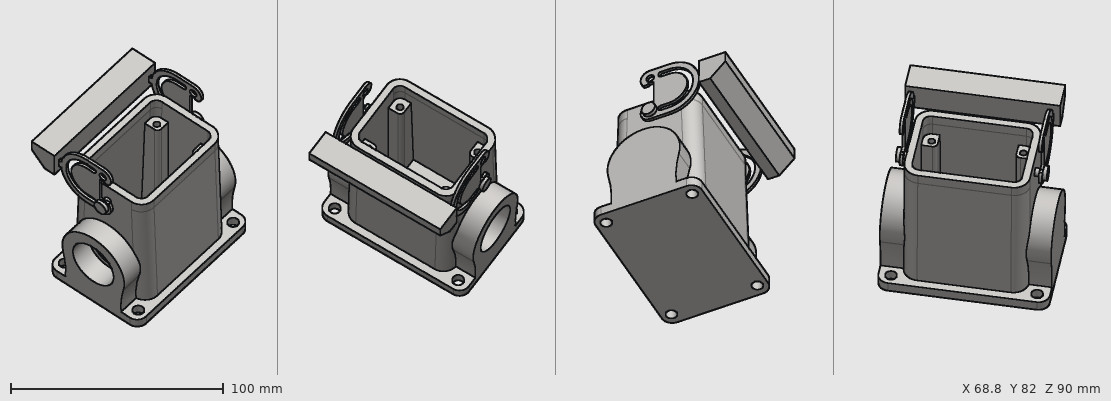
import cadquery as cq
import math

BASE_X = 55.6
BASE_Y = 82.0
BASE_HEIGHT = 5.2
BASE_CORNER_RADIUS = 5.4
SCREW_SPACING_X = 45.0
SCREW_SPACING_Y = 69.8
SCREW_HOLE_DIAMETER = 5.6

RIM_X = 43.2
RIM_Y = 59.9
FOOT_X = 47.4
HOOD_CORNER_RADIUS = 7.6
HOOD_TOP = 73.8
RIM_BOTTOM = 68.7
WALL = 3.7

POST_TOP = 61.65
POST_GAP_X = 20.0
POST_GAP_Y = 37.6
POST_EDGE_RADIUS = 2.25
POST_HOLE_SPACING_X = 26.8
POST_HOLE_SPACING_Y = 43.9
POST_HOLE_DIAMETER = 3.3
POST_HOLE_DEPTH = 10.8

BOSS_RADIUS = 19.0
BOSS_AXIS_HEIGHT = 27.1
BOSS_FOOT_X = 34.0
BOSS_FLARE_DROP = 4.3
ENTRY_DIAMETER = 24.9
ENTRY_DEPTH = 11.5
ENTRY_INNER_DIAMETER = 19.1

PLATE_INNER_Y = 32.5
PLATE_THICKNESS = 1.5
PLATE_OUTER_Y = PLATE_INNER_Y + PLATE_THICKNESS
PIVOT_HEIGHT = 63.9
LOBE_SPACING = 21.1
LOBE_RADIUS = 5.0
PLATE_MID_HEIGHT = PIVOT_HEIGHT + LOBE_SPACING / 2
PLATE_RADIUS = LOBE_SPACING / 2 + LOBE_RADIUS
PLATE_ARC_X = -10.0
PLATE_EDGE_X = -1.9
NOTCH_DROP = 2.9
NOTCH_RADIUS = 0.9
LOBE_FLAT_DROP = 3.6
LOBE_STEP_X = 1.7
SLOT_RADIUS = 10.9
SLOT_WIDTH = 3.1
SLOT_END_X = -5.8
TAB_HEIGHT = 4.05
BAR_MIN_X = -40.95
BAR_MAX_X = -27.0
BAR_LENGTH = 74.2
BAR_BOTTOM = 68.7
BAR_TOP = 82.4
BAR_CHAMFER_X = 8.0
BAR_CHAMFER_Z = 7.8

STUD_DIAMETER = 4.0
STUD_HEAD_DIAMETER = 7.1
STUD_HEAD_HEIGHT = 2.1


def rounded_rectangle(size_x, size_y, radius):
    return cq.Sketch().rect(size_x, size_y).vertices().fillet(radius)


def hood_block(inset):
    """Solid inside the hood's outer surface, moved inward by inset on all sides."""
    foot = FOOT_X / 2 - inset
    rim = RIM_X / 2 - inset
    size_y = RIM_Y - 2 * inset
    return (
        cq.Workplane("XZ", origin=(0, size_y / 2, 0))
        .moveTo(-foot, BASE_HEIGHT)
        .lineTo(foot, BASE_HEIGHT)
        .lineTo(rim, RIM_BOTTOM)
        .lineTo(rim, HOOD_TOP)
        .lineTo(-rim, HOOD_TOP)
        .lineTo(-rim, RIM_BOTTOM)
        .close()
        .extrude(size_y)
        .faces("<Y or >Y").edges("not #Z")
        .fillet(HOOD_CORNER_RADIUS - inset)
    )


def base_plate():
    return (
        cq.Workplane("XY")
        .placeSketch(rounded_rectangle(BASE_X, BASE_Y, BASE_CORNER_RADIUS))
        .extrude(BASE_HEIGHT)
        .faces(">Z").workplane()
        .rect(SCREW_SPACING_X, SCREW_SPACING_Y, forConstruction=True).vertices()
        .hole(SCREW_HOLE_DIAMETER)
    )


def entry_bosses():
    """Round bosses whose sides curve smoothly down to the base; one prism forms both ends."""
    flare_angle = math.asin(BOSS_FLARE_DROP / BOSS_RADIUS)
    side_angle = (math.pi / 2 - flare_angle) / 2

    def circle_point(angle):
        return BOSS_RADIUS * math.cos(angle), BOSS_AXIS_HEIGHT + BOSS_RADIUS * math.sin(angle)

    half_outline = (
        cq.Workplane("XZ", origin=(0, BASE_Y / 2, 0))
        .moveTo(*circle_point(math.pi / 2))
        .threePointArc(circle_point(side_angle), circle_point(-flare_angle))
        .tangentArcPoint((BOSS_FOOT_X / 2, BASE_HEIGHT), relative=False)
        .lineTo(0, BASE_HEIGHT)
    )
    return half_outline.mirrorY().extrude(BASE_Y)


def cable_entry():
    """Stepped hole through the -Y boss into the cavity."""
    outer = (
        cq.Workplane("XZ", origin=(0, -BASE_Y / 2, BOSS_AXIS_HEIGHT))
        .circle(ENTRY_DIAMETER / 2)
        .extrude(-ENTRY_DEPTH)
    )
    inner = (
        cq.Workplane("XZ", origin=(0, -BASE_Y / 2, BOSS_AXIS_HEIGHT))
        .circle(ENTRY_INNER_DIAMETER / 2)
        .extrude(-BASE_Y / 2)
    )
    return outer.union(inner)


def posts(cavity):
    """Four corner posts, shaped on the outside by the cavity walls."""
    post_height = POST_TOP - BASE_HEIGHT
    blank_x = (FOOT_X - POST_GAP_X) / 2
    blank_y = (RIM_Y - POST_GAP_Y) / 2
    blanks = (
        cq.Workplane("XY", origin=(0, 0, BASE_HEIGHT))
        .rect(POST_GAP_X + blank_x, POST_GAP_Y + blank_y, forConstruction=True).vertices()
        .rect(blank_x, blank_y)
        .extrude(post_height)
        .edges("|Z").fillet(POST_EDGE_RADIUS)
    )
    holes = (
        cq.Workplane("XY", origin=(0, 0, POST_TOP))
        .rect(POST_HOLE_SPACING_X, POST_HOLE_SPACING_Y, forConstruction=True).vertices()
        .circle(POST_HOLE_DIAMETER / 2)
        .extrude(-POST_HOLE_DEPTH)
    )
    return blanks.intersect(cavity).cut(holes)


def pivot_stud(side):
    """Headed stud on the end wall; side is -1 for -Y and +1 for +Y."""
    inside_wall_y = RIM_Y / 2 - WALL / 2
    shank = (
        cq.Workplane("XZ", origin=(0, side * inside_wall_y, PIVOT_HEIGHT))
        .circle(STUD_DIAMETER / 2)
        .extrude(-side * (PLATE_OUTER_Y - inside_wall_y))
    )
    head = (
        cq.Workplane("XZ", origin=(0, side * PLATE_OUTER_Y, PIVOT_HEIGHT))
        .circle(STUD_HEAD_DIAMETER / 2)
        .extrude(-side * STUD_HEAD_HEIGHT)
    )
    return shank.union(head)


def make_housing():
    cavity = hood_block(WALL)
    body = base_plate().union(entry_bosses()).union(hood_block(0))
    body = body.cut(cavity).cut(cable_entry())
    body = body.union(posts(cavity))
    for side in (-1, 1):
        body = body.union(pivot_stud(side))
    return body


def plate_outline():
    """D-shaped plate with two hooked lobes, mirrored about its mid height."""
    notch_z = LOBE_SPACING / 2 - NOTCH_DROP
    flat_z = LOBE_SPACING / 2 - LOBE_FLAT_DROP
    flat_x = math.sqrt(LOBE_RADIUS**2 - LOBE_FLAT_DROP**2)
    step = LOBE_FLAT_DROP - NOTCH_DROP
    upper = (
        cq.Workplane("XZ")
        .moveTo(PLATE_ARC_X - PLATE_RADIUS, 0)
        .radiusArc((PLATE_ARC_X, PLATE_RADIUS), PLATE_RADIUS)
        .lineTo(0, PLATE_RADIUS)
        .threePointArc((LOBE_RADIUS, LOBE_SPACING / 2), (flat_x, flat_z))
        .lineTo(LOBE_STEP_X, flat_z)
        .radiusArc((LOBE_STEP_X - step, notch_z), step)
        .lineTo(PLATE_EDGE_X + NOTCH_RADIUS, notch_z)
        .radiusArc((PLATE_EDGE_X, notch_z - NOTCH_RADIUS), -NOTCH_RADIUS)
        .lineTo(PLATE_EDGE_X, 0)
    )
    return upper.mirrorX()


def plate_slot():
    """C-shaped slot of constant width with round ends."""
    path = (
        cq.Workplane("XZ")
        .moveTo(SLOT_END_X, SLOT_RADIUS)
        .lineTo(PLATE_ARC_X, SLOT_RADIUS)
        .threePointArc((PLATE_ARC_X - SLOT_RADIUS, 0), (PLATE_ARC_X, -SLOT_RADIUS))
        .lineTo(SLOT_END_X, -SLOT_RADIUS)
    )
    return path.offset2D(SLOT_WIDTH / 2).extrude(-PLATE_THICKNESS)


def latch_plate(inner_y):
    """Side plate whose faces lie at inner_y and inner_y + PLATE_THICKNESS."""
    lobe_holes = (
        cq.Workplane("XZ")
        .pushPoints([(0, LOBE_SPACING / 2), (0, -LOBE_SPACING / 2)])
        .circle(STUD_DIAMETER / 2)
        .extrude(-PLATE_THICKNESS)
    )
    tab_end_x = PLATE_ARC_X - (PLATE_RADIUS + SLOT_RADIUS + SLOT_WIDTH / 2) / 2
    tab_length = tab_end_x - BAR_MAX_X
    tab = (
        cq.Workplane("XZ")
        .center(BAR_MAX_X + tab_length / 2, 0)
        .rect(tab_length, TAB_HEIGHT)
        .extrude(-PLATE_THICKNESS)
    )
    plate = plate_outline().extrude(-PLATE_THICKNESS).cut(plate_slot()).cut(lobe_holes).union(tab)
    return plate.translate((0, inner_y, PLATE_MID_HEIGHT))


def latch_bar():
    return (
        cq.Workplane("XZ", origin=(0, BAR_LENGTH / 2, 0))
        .moveTo(BAR_MIN_X, BAR_TOP)
        .lineTo(BAR_MAX_X, BAR_TOP)
        .lineTo(BAR_MAX_X, BAR_BOTTOM)
        .lineTo(BAR_MIN_X + BAR_CHAMFER_X, BAR_BOTTOM)
        .lineTo(BAR_MIN_X, BAR_BOTTOM + BAR_CHAMFER_Z)
        .close()
        .extrude(BAR_LENGTH)
    )


def make_latch():
    latch = latch_bar()
    for inner_y in (-PLATE_OUTER_Y, PLATE_INNER_Y):
        latch = latch.union(latch_plate(inner_y))
    return latch


housing = make_housing()
latch = make_latch()

result = cq.Compound.makeCompound([housing.val(), latch.val()])